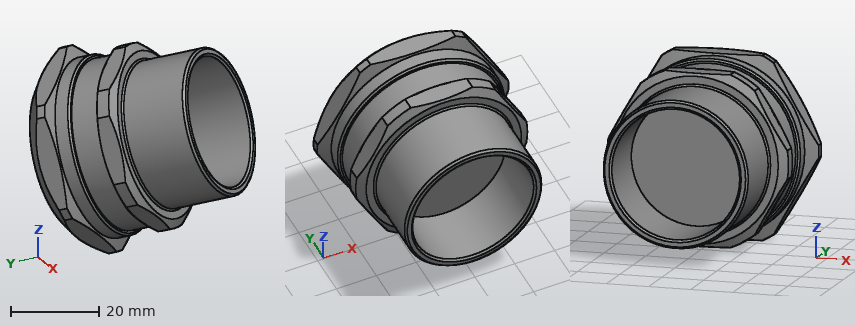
import cadquery as cq
import math

total_length = 39.3

tube_radius = 34.4 / 2
tube_tip_radius = 33.5 / 2
tube_tip_chamfer_length = 0.58
tube_end = 15.65
bore_radius = 30.4 / 2
bore_mouth_radius = 15.7
bore_mouth_chamfer_length = 0.5
bore_depth = 15.35

shoulder_radius = 17.65
small_hex_start = 16.05
small_hex_end = 21.05
small_hex_flats = 40.2
small_hex_corner_radius = 21.55
small_hex_front_radius = 19.5
small_hex_front_chamfer_length = 1.15
small_hex_rear_chamfer_length = 0.85

body_radius = 40.0 / 2
collar_radius = 42.0 / 2
collar_start = 27.55
collar_chamfer = 0.5

large_hex_start = 31.3
large_hex_flats = 43.0
large_hex_corner_radius = 24.0
large_hex_front_chamfer_length = 1.05
large_hex_cone_start = 34.4
large_hex_rear_radius = 18.3


def turned(profile):
    """Revolve (radius, y) points, closed along the axis, around Y."""
    first_y = profile[0][1]
    last_y = profile[-1][1]
    points = [(0, first_y)] + profile + [(0, last_y)]
    return cq.Workplane("XY").polyline(points).close().revolve(360, (0, 0), (0, 1))


def turned_hexagon(across_flats, profile):
    """Hexagon with corners on X and its edges trimmed to a turned profile."""
    start = profile[0][1]
    length = profile[-1][1] - start
    across_corners = across_flats / math.cos(math.radians(30))
    prism = (
        cq.Workplane("XZ", origin=(0, start, 0))
        .polygon(6, across_corners)
        .extrude(-length)
    )
    return prism.intersect(turned(profile))


round_stock = turned([
    (tube_tip_radius, 0),
    (tube_radius, tube_tip_chamfer_length),
    (tube_radius, tube_end),
    (shoulder_radius, small_hex_start),
    (shoulder_radius, small_hex_end),
    (body_radius, small_hex_end),
    (body_radius, collar_start),
    (collar_radius - collar_chamfer, collar_start),
    (collar_radius, collar_start + collar_chamfer),
    (collar_radius, large_hex_start),
])

small_hexagon = turned_hexagon(small_hex_flats, [
    (small_hex_front_radius, small_hex_start),
    (small_hex_corner_radius, small_hex_start + small_hex_front_chamfer_length),
    (small_hex_corner_radius, small_hex_end - small_hex_rear_chamfer_length),
    (body_radius, small_hex_end),
])

large_hexagon = turned_hexagon(large_hex_flats, [
    (collar_radius, large_hex_start),
    (large_hex_corner_radius, large_hex_start + large_hex_front_chamfer_length),
    (large_hex_corner_radius, large_hex_cone_start),
    (large_hex_rear_radius, total_length),
])

bore = turned([
    (bore_mouth_radius, 0),
    (bore_radius, bore_mouth_chamfer_length),
    (bore_radius, bore_depth),
])

result = round_stock.union(small_hexagon).union(large_hexagon).cut(bore)